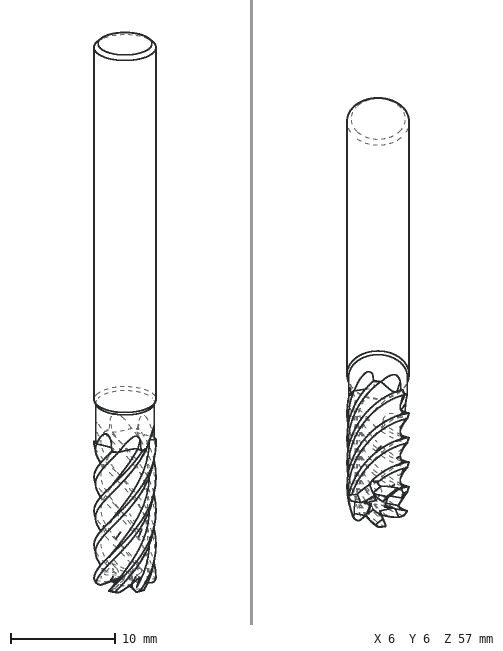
import cadquery as cq
import math


total_length = 57
cutting_diameter = 6.0
shank_diameter = cutting_diameter
neck_diameter = 5.65
head_length = 15.0
neck_length = 4.0
shoulder_height = 0.35
shank_chamfer = 0.4
corner_radius = 0.5
edge_clearance = 0.005

flute_count = 6
helix_pitch = 21.65
edge_angle_at_neck = -59
runout_length = 1.95
runout_lift = 0.8
runout_lead = 5
runout_outer_radius = 3.9

gash_depth = 1.25
gash_width = 1.5
gash_lean = 0.55
gash_inner_radius = 0.7

land_angle = 13
land_drop = 0.14
floor_start_angle = 40
floor_start_radius = 2.15
rake_foot_angle = 58
rake_foot_radius = 2.35

cutting_radius = cutting_diameter / 2
shank_radius = shank_diameter / 2
neck_radius = neck_diameter / 2
tooth_step = 360 / flute_count
neck_top = head_length + neck_length
head_twist = 360 * head_length / helix_pitch
edge_angle_at_tip = edge_angle_at_neck - head_twist


def polar(radius, angle):
    """Point in the XY plane at a radius and an angle in degrees."""
    return (radius * math.cos(math.radians(angle)), radius * math.sin(math.radians(angle)))


def add_flute_side(path, edge_angle):
    """Draw one tooth back and the flute behind it, from a cutting edge up to the foot of the next rake face."""
    return (
        path.lineTo(*polar(cutting_radius - land_drop, edge_angle + land_angle))
        .lineTo(*polar(floor_start_radius, edge_angle + floor_start_angle))
        .tangentArcPoint(polar(rake_foot_radius, edge_angle + rake_foot_angle), relative=False)
    )


def make_gash(edge_angle):
    """Wedge that leans with the rake face and runs radially across the end of one flute."""
    wedge = cq.Workplane("YZ", origin=(gash_inner_radius, 0, 0)).polyline(
        [(0, 0), (gash_lean, gash_depth), (-gash_width, 0)]
    )
    return wedge.close().extrude(cutting_radius).rotate((0, 0, 0), (0, 0, 1), edge_angle)


def make_head():
    """Helical cutting head."""
    section = cq.Workplane("XY").moveTo(*polar(cutting_radius, edge_angle_at_tip))
    for tooth in range(flute_count):
        edge_angle = edge_angle_at_tip + tooth * tooth_step
        section = add_flute_side(section, edge_angle)
        section = section.lineTo(*polar(cutting_radius, edge_angle + tooth_step))
    head = section.close().twistExtrude(head_length, head_twist)

    envelope = cq.Workplane("XY").circle(cutting_radius + edge_clearance).extrude(head_length)
    envelope = envelope.faces("<Z").edges().fillet(corner_radius)
    head = head.intersect(envelope)

    for flute in range(flute_count):
        head = head.cut(make_gash(edge_angle_at_tip + flute * tooth_step))
    return head


def make_runout(edge_angle):
    """Cutter that carries one flute up into the neck while lifting it out to the surface."""
    path = cq.Workplane("XY", origin=(0, 0, head_length)).moveTo(*polar(cutting_radius, edge_angle))
    path = add_flute_side(path, edge_angle).lineTo(*polar(cutting_radius, edge_angle + tooth_step))
    wire = path.lineTo(*polar(runout_outer_radius, edge_angle + tooth_step / 2)).close().val()
    rise = polar(runout_lift, edge_angle + rake_foot_angle - runout_lead)
    return cq.Workplane(cq.Solid.extrudeLinear(wire, [], cq.Vector(*rise, runout_length)))


def make_shank():
    """Shank and neck."""
    shank = (
        cq.Workplane("YZ")
        .moveTo(0, head_length)
        .lineTo(-neck_radius, head_length)
        .lineTo(-neck_radius, neck_top)
        .lineTo(-shank_radius, neck_top + shoulder_height)
        .lineTo(-shank_radius, total_length - shank_chamfer)
        .lineTo(shank_chamfer - shank_radius, total_length)
        .lineTo(0, total_length)
        .close()
        .revolve(360, (0, 0, 0), (0, 1, 0))
    )

    for flute in range(flute_count):
        shank = shank.cut(make_runout(edge_angle_at_neck + flute * tooth_step))
    return shank


shank = make_shank()
head = make_head()
result = cq.Compound.makeCompound([shank.val(), head.val()])